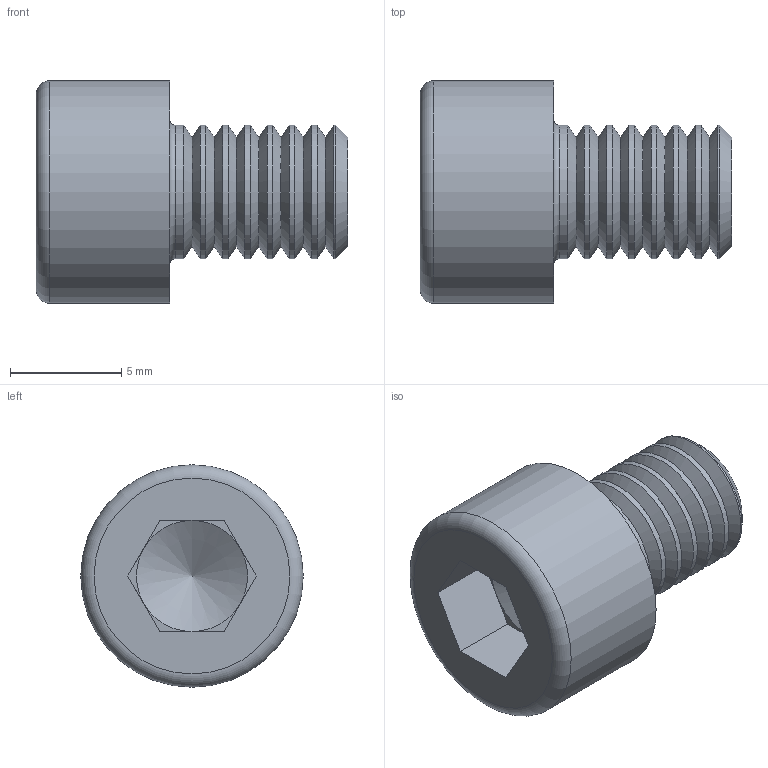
import cadquery as cq
import math

head_diameter = 10.0
head_length = 6.0
head_fillet = 0.6

thread_diameter = 6.0
shank_length = 8.0
pitch = 1.0
thread_depth = 5 / 8 * pitch * math.sqrt(3) / 2
crest_width = pitch / 4
groove_count = 7
neck_fillet = 0.25
tip_chamfer = thread_depth

socket_sides = 6
socket_across_flats = 5.0
socket_depth = 3.0
socket_cone_angle = 120.0

head_radius = head_diameter / 2
thread_radius = thread_diameter / 2
root_radius = thread_radius - thread_depth
groove_half_width = (pitch - crest_width) / 2
total_length = head_length + shank_length


def make_head():
    """Plain cylinder with its outer rim rounded."""
    head = cq.Workplane("YZ").circle(head_radius).extrude(head_length)
    return head.faces("<X").edges().fillet(head_fillet)


def make_shank():
    """Revolve the shank: neck fillet, ring-shaped thread grooves, tip chamfer."""
    neck_arc_start = (head_length, thread_radius + neck_fillet)
    neck_arc_end = (head_length + neck_fillet, thread_radius)
    arc_offset = neck_fillet * (1 - math.sqrt(0.5))
    neck_arc_middle = (head_length + arc_offset, thread_radius + arc_offset)

    profile = (
        cq.Workplane("XY")
        .moveTo(head_length, 0)
        .lineTo(*neck_arc_start)
        .threePointArc(neck_arc_middle, neck_arc_end)
    )
    for groove in range(groove_count):
        root_x = head_length + pitch * (groove + 1)
        profile = (
            profile
            .lineTo(root_x - groove_half_width, thread_radius)
            .lineTo(root_x, root_radius)
            .lineTo(root_x + groove_half_width, thread_radius)
        )
    profile = (
        profile
        .lineTo(total_length - tip_chamfer, thread_radius)
        .lineTo(total_length, thread_radius - tip_chamfer)
        .lineTo(total_length, 0)
        .close()
    )
    return profile.revolve(360, (0, 0, 0), (1, 0, 0))


def make_socket():
    """Hexagonal recess, two flats facing +Z and -Z, with a conical drill point."""
    across_corners = socket_across_flats / math.cos(math.pi / socket_sides)
    hexagon = cq.Workplane("YZ").polygon(socket_sides, across_corners).extrude(socket_depth)

    cone_radius = socket_across_flats / 2
    cone_depth = cone_radius / math.tan(math.radians(socket_cone_angle / 2))
    cone = cq.Workplane(
        cq.Solid.makeCone(
            cone_radius, 0, cone_depth,
            pnt=cq.Vector(socket_depth, 0, 0), dir=cq.Vector(1, 0, 0),
        )
    )
    return hexagon.union(cone)


result = make_head().union(make_shank()).cut(make_socket())